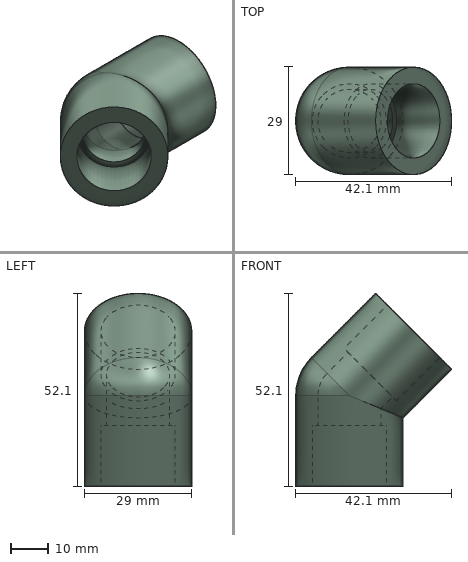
import cadquery as cq

body_diameter = 29.0
socket_diameter = 20.0
bore_diameter = 17.0
leg_length = 24.5
socket_depth = 16.5
bend_angle = 45.0

leg_turns = (0.0, 180.0 + bend_angle)


def leg_cylinder(diameter, start, length, turn):
    """Cylinder along a leg, beginning at a distance from the bend centre."""
    cylinder = (
        cq.Workplane("XY")
        .workplane(offset=-start)
        .circle(diameter / 2)
        .extrude(-length)
    )
    return cylinder.rotate((0, 0, 0), (0, 1, 0), turn)


def rounded_elbow(diameter):
    """Two round legs joined by a ball at the bend centre."""
    elbow = cq.Workplane("XY").sphere(diameter / 2)
    for turn in leg_turns:
        elbow = elbow.union(leg_cylinder(diameter, 0, leg_length, turn))
    return elbow


def end_socket(turn):
    """Wider pipe socket sunk into the end face of a leg."""
    return leg_cylinder(socket_diameter, leg_length - socket_depth, socket_depth, turn)


result = rounded_elbow(body_diameter).cut(rounded_elbow(bore_diameter))
for turn in leg_turns:
    result = result.cut(end_socket(turn))